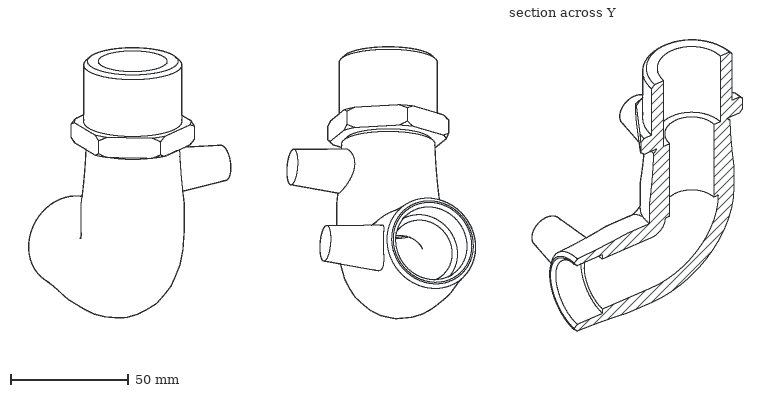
import cadquery as cq
import math

EDGE_CHAMFER = 1.6

ARM_LENGTH = 61.0
BODY_RADIUS = 44.0 / 2
BEND_RADIUS = 21.0
NECK_START = 33.4
ARM_END_RADIUS = 19.9
NECK_HOLLOW = 0.3

ELBOW_BORE_RADIUS = 27.2 / 2
SOCKET_RADIUS = 32.0 / 2
SOCKET_DEPTH = 14.7

HEX_CORNER_DIAMETER = 52.8
HEX_HEIGHT = 9.0
NIPPLE_RADIUS = 41.91 / 2
NIPPLE_LENGTH = 27.0
NIPPLE_BORE_RADIUS = 29.34 / 2
SEAT_BORE_RADIUS = 23.0 / 2

STUD_END_Y = 43.0
STUD_END_DIAMETER = 15.3
STUD_TAPER_ANGLE = 5.0
STUD_DISTANCE = 45.5
STUD_ROOT_Y = SOCKET_RADIUS + 1.5

HEX_TOP = ARM_LENGTH + HEX_HEIGHT
NIPPLE_TOP = HEX_TOP + NIPPLE_LENGTH


def upright_cylinder(radius, z_bottom, z_top):
    return cq.Workplane("XY", origin=(0, 0, z_bottom)).circle(radius).extrude(z_top - z_bottom)


def laid_along_minus_x(shape):
    """Swing a shape standing on the +Z axis over to the -X axis."""
    return shape.rotate((0, 0, 0), (0, 1, 0), -90)


def upright_arm():
    """Solid arm along +Z: straight, then a slightly hollow neck, then the end chamfer."""
    neck_end = ARM_LENGTH - EDGE_CHAMFER
    neck_middle = (NECK_START + neck_end) / 2
    neck_middle_radius = (BODY_RADIUS + ARM_END_RADIUS) / 2 - NECK_HOLLOW
    outline = (
        cq.Workplane("XZ")
        .moveTo(0, BEND_RADIUS)
        .lineTo(BODY_RADIUS, BEND_RADIUS)
        .lineTo(BODY_RADIUS, NECK_START)
        .threePointArc((neck_middle_radius, neck_middle), (ARM_END_RADIUS, neck_end))
        .lineTo(ARM_END_RADIUS - EDGE_CHAMFER, ARM_LENGTH)
        .lineTo(0, ARM_LENGTH)
        .close()
    )
    return outline.revolve(360, (0, 0), (0, 1))


def bend_section_plane():
    return cq.Workplane("XY", origin=(0, 0, BEND_RADIUS))


def swept_round_bend(section):
    """Turn a section lying at the foot of the upright arm through the quarter bend to the -X arm."""
    return section.revolve(90, (-BEND_RADIUS, 0, 0), (-BEND_RADIUS, 1, 0))


def bend_body():
    """Solid bend, built as two mirrored halves on either side of the XZ plane.

    The body is wider than the bend radius, so its section is cut off at the bend axis.
    """
    half_chord = math.sqrt(BODY_RADIUS**2 - BEND_RADIUS**2)
    half_section = (
        bend_section_plane()
        .moveTo(-BEND_RADIUS, 0)
        .lineTo(BODY_RADIUS, 0)
        .threePointArc((0, BODY_RADIUS), (-BEND_RADIUS, half_chord))
        .close()
    )
    half_bend = swept_round_bend(half_section)
    return half_bend.union(half_bend.mirror("XZ"))


def hexagon_collar():
    """Hexagon with corners on the X axis, both rims turned to a chamfer."""
    hexagon = (
        cq.Workplane("XY", origin=(0, 0, ARM_LENGTH))
        .polygon(6, HEX_CORNER_DIAMETER)
        .extrude(HEX_HEIGHT)
    )
    turned_blank = upright_cylinder(HEX_CORNER_DIAMETER / 2, ARM_LENGTH, HEX_TOP).edges().chamfer(EDGE_CHAMFER)
    return hexagon.intersect(turned_blank)


def nipple():
    return upright_cylinder(NIPPLE_RADIUS, HEX_TOP, NIPPLE_TOP).faces(">Z").edges().chamfer(EDGE_CHAMFER)


def terminal_stud(x, z):
    """Stud widening from its free end down into the body wall."""
    return (
        cq.Workplane("XZ", origin=(x, STUD_END_Y, z))
        .circle(STUD_END_DIAMETER / 2)
        .extrude(STUD_END_Y - STUD_ROOT_Y, taper=-STUD_TAPER_ANGLE)
    )


def pipe_socket():
    """Counterbore for the pipe with a chamfered mouth, in the free end of the -X arm."""
    shoulder = ARM_LENGTH - SOCKET_DEPTH
    counterbore = upright_cylinder(SOCKET_RADIUS, shoulder, ARM_LENGTH)
    mouth = (
        cq.Workplane("XY", origin=(0, 0, ARM_LENGTH))
        .circle(SOCKET_RADIUS + EDGE_CHAMFER)
        .extrude(-EDGE_CHAMFER, taper=45)
    )
    return laid_along_minus_x(counterbore.union(mouth))


def elbow_bore():
    """Passage from the pipe socket round the bend to the foot of the upright arm."""
    run = laid_along_minus_x(upright_cylinder(ELBOW_BORE_RADIUS, BEND_RADIUS, ARM_LENGTH))
    bend = swept_round_bend(bend_section_plane().circle(ELBOW_BORE_RADIUS))
    return run.union(bend)


body = (
    bend_body()
    .union(upright_arm())
    .union(laid_along_minus_x(upright_arm()))
    .union(hexagon_collar())
    .union(nipple())
    .union(terminal_stud(0, STUD_DISTANCE))
    .union(terminal_stud(-STUD_DISTANCE, 0))
)

result = (
    body
    .cut(elbow_bore())
    .cut(pipe_socket())
    .cut(upright_cylinder(SEAT_BORE_RADIUS, BEND_RADIUS, ARM_LENGTH))
    .cut(upright_cylinder(NIPPLE_BORE_RADIUS, ARM_LENGTH, NIPPLE_TOP))
)